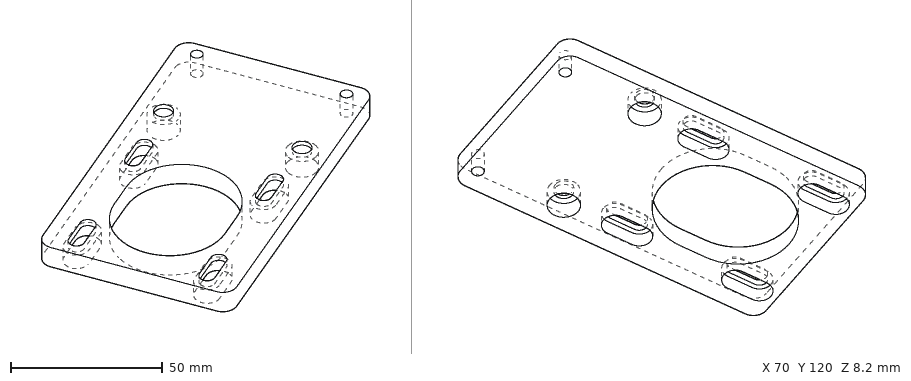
import cadquery as cq

plate_width = 70.0
plate_length = 120.0
plate_thickness = 8.2
corner_radius = 5.0

end_hole_diameter = 4.2
end_hole_spacing = 54.0
end_hole_y = 55.0

middle_hole_diameter = 6.6
middle_hole_spacing = 49.9
middle_hole_y = 22.5
counterbore_diameter = 11.0
counterbore_floor = 1.5

opening_y = -25.0
opening_width = 40.0
opening_length = 50.0

slot_spacing = 47.2
slot_width = 5.5
slot_length = 15.0
slot_recess_width = 9.0
slot_recess_length = slot_length + slot_recess_width - slot_width
slot_floor = 2.5


def mirrored_pair(spacing, y):
    """Two points symmetric about the plate's long axis."""
    return [(-spacing / 2, y), (spacing / 2, y)]


def cylinders(diameter, centers, height):
    """Upright cylinders standing on the underside plane."""
    return cq.Workplane("XY").pushPoints(centers).circle(diameter / 2).extrude(height)


def slots(length, width, centers, height):
    """Upright round-ended bars along Y, standing on the underside plane."""
    return cq.Workplane("XY").pushPoints(centers).slot2D(length, width, 90).extrude(height)


plate = (
    cq.Workplane("XY")
    .box(plate_width, plate_length, plate_thickness, centered=(True, True, False))
    .edges("|Z")
    .fillet(corner_radius)
)

end_hole_centers = mirrored_pair(end_hole_spacing, end_hole_y)
plate = plate.cut(cylinders(end_hole_diameter, end_hole_centers, plate_thickness))

middle_hole_centers = mirrored_pair(middle_hole_spacing, middle_hole_y)
counterbore_depth = plate_thickness - counterbore_floor
plate = plate.cut(cylinders(middle_hole_diameter, middle_hole_centers, plate_thickness))
plate = plate.cut(cylinders(counterbore_diameter, middle_hole_centers, counterbore_depth))

plate = plate.cut(slots(opening_length, opening_width, [(0, opening_y)], plate_thickness))

slot_centers = [
    center
    for end in (-1, 1)
    for center in mirrored_pair(slot_spacing, opening_y + end * slot_spacing / 2)
]
slot_recess_depth = plate_thickness - slot_floor
plate = plate.cut(slots(slot_length, slot_width, slot_centers, plate_thickness))
plate = plate.cut(slots(slot_recess_length, slot_recess_width, slot_centers, slot_recess_depth))

result = plate